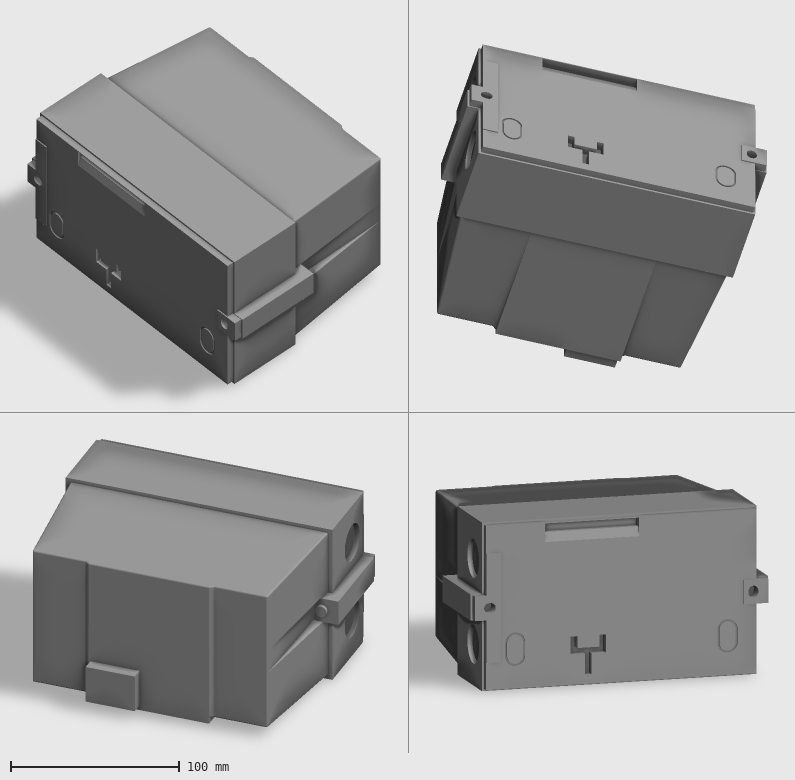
import cadquery as cq
import math


base_width = 170.0
base_height = 102.0
plate_inset = 1.38
plate_back = 0.7
box_back = 5.0
flange_front = 54.0

overall_width = 184.0
lug_height = 15.8
lug_front = 62.0
lug_foot_height = 14.7
lug_foot_inset = 1.3
lug_foot_inner_x = 75.5
lug_inner_x = 77.3
screw_x = 81.5
screw_radius = 3.7
screw_head_height = 2.2
lug_slot_length = 7.2
lug_slot_width = 6.0
lug_slot_depth = 9.2

left_pad_width = 9.0
left_pad_height = 66.2

cover_base_half_width = 82.0
cover_base_half_height = 48.4
cover_front_half_width = 74.9
cover_front_half_height = 44.5
cover_shoulder = 132.3
cover_front = 134.1
raised_half_width = 38.5
raised_flank = 2.4
cover_round = 1.1

groove_floor_x = 76.5
groove_floor_tilt = 1.3
groove_half_height = 7.4
groove_length = 82.8
groove_cut_height = 11.0
groove_wall_draft = 15.0

knob_left = 5.9
knob_width = 31.3
knob_bottom = -45.3
knob_height = 23.5
knob_front = 141.7

knockout_y = 22.5
knockout_z = 26.0
knockout_radius = 11.8
knockout_floor_radius = 11.13
knockout_depth = 3.0

oval_x = 65.7
oval_z = -26.0
oval_length = 20.2
oval_width = 12.5
oval_groove_width = 1.3
oval_groove_depth = 1.0

rail_left = -47.1
rail_width = 58.1
rail_bottom = 37.7
rail_ledge = 43.5
rail_top = 49.0
rail_ramp_depth = 2.0
rail_depth = 6.5

fork_x = -20.5
fork_width = 21.7
fork_prong_width = 4.0
fork_top = -20.5
fork_bar_top = -27.6
fork_bar_bottom = -31.3
fork_stem_bottom = -44.0
fork_depth = 5.5


def block(x0, x1, y0, y1, z0, z1):
    """Box between two opposite corners."""
    return cq.Workplane("XY").box(x1 - x0, y1 - y0, z1 - z0, centered=False).translate((x0, y0, z0))


def centred_block(width, height, y0, y1):
    """Box centred on the Y axis."""
    return block(-width / 2, width / 2, y0, y1, -height / 2, height / 2)


def both_ends(left_feature):
    """A feature of the left end together with its mirror image on the right end."""
    return left_feature.union(left_feature.mirror("YZ"))


def rear_slot(x, z, length, width, angle, y, depth):
    """Round-ended prism from the plane Y = y forwards; angle 90 stands it upright."""
    plane = cq.Plane(origin=(x, y, z), xDir=(1, 0, 0), normal=(0, -1, 0))
    return cq.Workplane(plane).slot2D(length, width, angle).extrude(-depth)


def make_base():
    box = centred_block(base_width, base_height, box_back, flange_front)
    plate = centred_block(base_width - 2 * plate_inset, base_height - 2 * plate_inset, plate_back, box_back)
    return box.union(plate)


def make_cover():
    """Cover outline from above, crossed with its tapered side outline, with rounded edges."""
    right_half = [
        (cover_base_half_width, flange_front),
        (cover_front_half_width, cover_shoulder),
        (raised_half_width + raised_flank, cover_shoulder),
        (raised_half_width, cover_front),
    ]
    left_half = [(-x, y) for x, y in reversed(right_half)]
    plan = (
        cq.Workplane("XY").polyline(right_half + left_half).close()
        .extrude(cover_base_half_height, both=True)
    )
    side = (
        cq.Workplane("YZ")
        .polyline([
            (flange_front, -cover_base_half_height),
            (cover_front, -cover_front_half_height),
            (cover_front, cover_front_half_height),
            (flange_front, cover_base_half_height),
        ])
        .close()
        .extrude(cover_base_half_width, both=True)
    )
    shell = plan.intersect(side)
    return shell.faces("not <Y").edges("not(<Y)").fillet(cover_round)


def make_end_groove():
    """Cutter for the left groove: a drafted pocket with a slightly tilted floor."""
    tilt = math.radians(groove_floor_tilt)
    floor = cq.Plane(
        origin=(-groove_floor_x, lug_front, 0),
        xDir=(math.sin(tilt), math.cos(tilt), 0),
        normal=(-math.cos(tilt), math.sin(tilt), 0),
    )
    return (
        cq.Workplane(floor).center(groove_length / 2, 0)
        .rect(groove_length, 2 * groove_half_height)
        .extrude(groove_cut_height, taper=-groove_wall_draft)
    )


def make_chin():
    """Upright block below the raised middle part of the cover."""
    return block(-raised_half_width, raised_half_width, flange_front, cover_front, -cover_base_half_height, 0)


def make_left_lug():
    outer = -overall_width / 2
    half = lug_height / 2
    foot_half = lug_foot_height / 2
    lug = block(outer, -lug_inner_x, box_back, lug_front, -half, half)
    foot = block(outer + lug_foot_inset, -lug_foot_inner_x, 0, box_back, -foot_half, foot_half)
    screw = (
        cq.Workplane("XZ", origin=(-screw_x, lug_front, 0))
        .circle(screw_radius).extrude(-screw_head_height)
    )
    return lug.union(foot).union(screw)


def make_left_pad():
    outer = plate_inset - base_width / 2
    half = left_pad_height / 2
    return block(outer, outer + left_pad_width, 0, box_back, -half, half)


def make_knob():
    return block(
        knob_left, knob_left + knob_width, cover_shoulder, knob_front, knob_bottom, knob_bottom + knob_height
    )


def make_knockouts():
    taper = math.degrees(math.atan((knockout_radius - knockout_floor_radius) / knockout_depth))
    return (
        cq.Workplane("YZ", origin=(-base_width / 2, 0, 0))
        .pushPoints([(knockout_y, knockout_z), (knockout_y, -knockout_z)])
        .circle(knockout_radius).extrude(knockout_depth, taper=taper)
    )


def make_oval_groove():
    island_length = oval_length - 2 * oval_groove_width
    island_width = oval_width - 2 * oval_groove_width
    outer = rear_slot(-oval_x, oval_z, oval_length, oval_width, 90, plate_back, oval_groove_depth)
    island = rear_slot(-oval_x, oval_z, island_length, island_width, 90, plate_back, oval_groove_depth)
    return outer.cut(island)


def make_rail_recess():
    """Recess with a steep ramp rising to a ledge along its lower edge."""
    return (
        cq.Workplane("YZ", origin=(rail_left, 0, 0))
        .polyline([
            (plate_back, rail_bottom),
            (plate_back + rail_ramp_depth, rail_ledge),
            (plate_back + rail_depth, rail_ledge),
            (plate_back + rail_depth, rail_top),
            (plate_back, rail_top),
        ])
        .close()
        .extrude(rail_width)
    )


def make_fork_recess():
    left = fork_x - fork_width / 2
    right = fork_x + fork_width / 2
    front = plate_back + fork_depth
    stem_half = fork_prong_width / 2
    bar = block(left, right, plate_back, front, fork_bar_bottom, fork_bar_top)
    left_prong = block(left, left + fork_prong_width, plate_back, front, fork_bar_bottom, fork_top)
    right_prong = block(right - fork_prong_width, right, plate_back, front, fork_bar_bottom, fork_top)
    stem = block(fork_x - stem_half, fork_x + stem_half, plate_back, front, fork_stem_bottom, fork_bar_top)
    return bar.union(left_prong).union(right_prong).union(stem)


cover = make_cover().cut(both_ends(make_end_groove()))
result = (
    make_base()
    .union(cover)
    .union(make_chin())
    .union(both_ends(make_left_lug()))
    .union(make_left_pad())
    .union(make_knob())
    .cut(make_knockouts())
    .cut(both_ends(make_oval_groove()))
    .cut(make_rail_recess())
    .cut(make_fork_recess())
    .cut(rear_slot(-screw_x, 0, lug_slot_length, lug_slot_width, 0, 0, lug_slot_depth))
    .cut(rear_slot(screw_x, 0, lug_slot_length, lug_slot_width, 90, 0, lug_slot_depth))
)